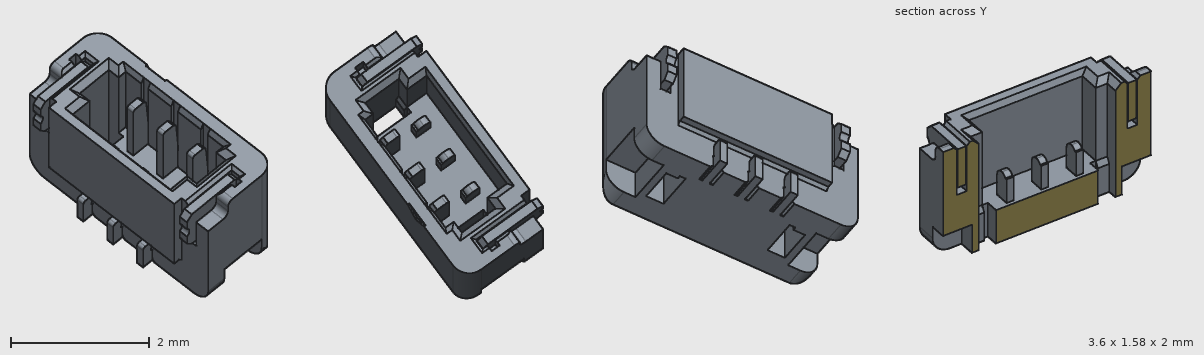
import cadquery as cq


LENGTH = 3.6
DEPTH = 1.4
HEIGHT = 2.0
CORNER_RADIUS = 0.3

BLOCK_LENGTH = 2.527
BLOCK_THICKNESS = 0.15
BLOCK_BOTTOM = 0.6
BLOCK_ROOT_CHAMFER = 0.05

BEVEL_DEPTH = 0.1
CAVITY_FLOOR = 0.6
MAIN_HALF = 0.983
MAIN_BEVEL_Y = 0.05
MAIN_FRONT = MAIN_BEVEL_Y
MAIN_BACK = 1.15
WING_HALF = 1.18
WING_FRONT = 0.4
WING_BACK = 1.0

WINDOW_INNER = 0.885
RAMP_WIDTH = 0.055

PITCH = 0.6
CONTACT_XS = [-PITCH, 0, PITCH]
CONTACT_WIDTH = 0.122
GROOVE_WIDTH = 0.135
GROOVE_BACK = MAIN_BACK + MAIN_BEVEL_Y
POST_FRONT = 0.85
POST_BACK = 1.115
POST_TOP = 1.652
POST_FRONT_RADIUS = 0.05
POST_BACK_CHAMFER = 0.055
SPRING_FRONT = 0.302
SPRING_CREST = 0.42
SPRING_SHOULDER = 0.522
SPRING_BACK = 0.555
SPRING_TOP = 1.08
SPRING_SHOULDER_DROP = 0.058

TAIL_REACH = 0.18
TAIL_HEIGHT = 0.45
TAIL_ROUND = 0.05
TAIL_GAP = 0.01
SHANK_HEIGHT = 0.25
SHANK_END = SPRING_FRONT
CHANNEL_WIDTH = GROOVE_WIDTH
CHANNEL_CHAMFER = 0.045

PLATE_X = 1.475
PLATE_WIDTH = 0.148
PLATE_TOP = 1.95
PLATE_BOTTOM = 1.26
PLATE_CHAMFER = 0.097
PLATE_NOTCH_DEPTH = 0.05
PLATE_NOTCH_HEIGHT = 0.173
SLOT_WIDTH = 0.165
SLOT_BOTTOM = 1.145
SLOT_BACK = 0.9
SLOT_BEVEL = 0.055
POCKET_OUTER = 1.67
POCKET_FRONT = 0.68
POCKET_LENGTH = 0.145
POCKET_DEPTH = 0.4

STEP_HEIGHT = 0.302
STEP_DEPTH = 0.41
STEP_RADIUS = 0.1

FOOT_FRONT = 0.34
FOOT_BACK = 1.1
FOOT_HEIGHT = 0.5
FOOT_DEPTH = 0.5

MARK_WIDTH = 0.4
MARK_HEIGHT = 0.3
MARK_DEPTH = 0.03


def box(x0, x1, y0, y1, z0, z1):
    return cq.Workplane("XY").box(x1 - x0, y1 - y0, z1 - z0, centered=False).translate((x0, y0, z0))


def side_profile(start):
    """Workplane for a (y, z) outline starting at the given point."""
    return cq.Workplane("YZ").moveTo(*start)


def extrude_across(outline, x_center, width):
    """Close a (y, z) outline and extrude it along X about x_center."""
    return outline.close().extrude(width / 2, both=True).translate((x_center, 0, 0))


def on_both_ends(solid):
    return solid.union(solid.mirror("YZ"))


def bevelled_mouth(x0, x1, y0, y1, depth, bevel_x, bevel_y):
    """Flared opening that reaches the given rectangle at depth below the top face."""
    outer = (x1 - x0 + 2 * bevel_x, y1 - y0 + 2 * bevel_y)
    return (
        cq.Workplane("XY", origin=((x0 + x1) / 2, (y0 + y1) / 2, HEIGHT - depth))
        .rect(x1 - x0, y1 - y0)
        .workplane(offset=depth)
        .rect(*outer)
        .loft(ruled=True)
    )


def housing():
    body = box(-LENGTH / 2, LENGTH / 2, 0, DEPTH, 0, HEIGHT)
    rounded_behind = body.edges("|Z and >Y").fillet(CORNER_RADIUS)
    rounded_below = body.edges("|Y and <Z").fillet(CORNER_RADIUS)
    block = (
        side_profile((0, HEIGHT))
        .lineTo(-BLOCK_THICKNESS, HEIGHT)
        .lineTo(-BLOCK_THICKNESS, BLOCK_BOTTOM)
        .lineTo(-BLOCK_ROOT_CHAMFER, BLOCK_BOTTOM)
        .lineTo(0, BLOCK_BOTTOM - BLOCK_ROOT_CHAMFER)
    )
    return rounded_behind.intersect(rounded_below).union(extrude_across(block, 0, BLOCK_LENGTH))


def cavity():
    main = box(-MAIN_HALF, MAIN_HALF, MAIN_FRONT, MAIN_BACK, CAVITY_FLOOR, HEIGHT)
    wings = box(-WING_HALF, WING_HALF, WING_FRONT, WING_BACK, CAVITY_FLOOR, HEIGHT)
    main_mouth = bevelled_mouth(
        -MAIN_HALF, MAIN_HALF, MAIN_FRONT, MAIN_BACK, BEVEL_DEPTH, BEVEL_DEPTH, MAIN_BEVEL_Y
    )
    wing_mouth = bevelled_mouth(
        -WING_HALF, WING_HALF, WING_FRONT, WING_BACK, BEVEL_DEPTH, BEVEL_DEPTH, BEVEL_DEPTH
    )
    pocket = main.union(wings).union(main_mouth).union(wing_mouth)
    for x in CONTACT_XS:
        half = GROOVE_WIDTH / 2
        pocket = pocket.union(box(x - half, x + half, MAIN_FRONT, GROOVE_BACK, CAVITY_FLOOR, HEIGHT))
    return pocket


def floor_windows():
    """Through openings, each with a small ramp left along its front edge."""
    window = box(WINDOW_INNER, WING_HALF, WING_FRONT, WING_BACK, 0, CAVITY_FLOOR)
    ramp = (
        side_profile((WING_FRONT, 0))
        .lineTo(WING_FRONT, CAVITY_FLOOR)
        .lineTo(WING_FRONT + RAMP_WIDTH, CAVITY_FLOOR - BEVEL_DEPTH)
        .lineTo(WING_FRONT + RAMP_WIDTH, 0)
    )
    ramp = extrude_across(ramp, (MAIN_HALF + WING_HALF) / 2, WING_HALF - MAIN_HALF)
    return on_both_ends(window.cut(ramp))


def plate_slots():
    x0 = PLATE_X - SLOT_WIDTH / 2
    x1 = PLATE_X + SLOT_WIDTH / 2
    slot = box(x0, x1, 0, SLOT_BACK, SLOT_BOTTOM, HEIGHT)
    mouth = bevelled_mouth(x0, x1, -SLOT_BACK, SLOT_BACK, SLOT_BEVEL, SLOT_BEVEL, SLOT_BEVEL)
    mouth = mouth.intersect(box(0, LENGTH, 0, DEPTH, 0, HEIGHT))
    pocket = box(
        PLATE_X, POCKET_OUTER, POCKET_FRONT, POCKET_FRONT + POCKET_LENGTH, HEIGHT - POCKET_DEPTH, HEIGHT
    )
    return on_both_ends(slot.union(mouth).union(pocket))


def corner_steps():
    """Cutaways outboard of the slots, with a rounded lip and a rounded inner corner."""
    step_z = HEIGHT - STEP_HEIGHT
    outline = (
        side_profile((0, HEIGHT))
        .lineTo(0, step_z)
        .lineTo(STEP_DEPTH - STEP_RADIUS, step_z)
        .radiusArc((STEP_DEPTH, step_z + STEP_RADIUS), -STEP_RADIUS)
        .lineTo(STEP_DEPTH, HEIGHT - STEP_RADIUS)
        .radiusArc((STEP_DEPTH + STEP_RADIUS, HEIGHT), STEP_RADIUS)
    )
    width = LENGTH / 2 - PLATE_X
    return on_both_ends(extrude_across(outline, PLATE_X + width / 2, width))


def foot_recesses():
    return on_both_ends(
        box(LENGTH / 2 - FOOT_DEPTH, LENGTH / 2, FOOT_FRONT, FOOT_BACK, 0, FOOT_HEIGHT)
    )


def first_contact_mark():
    """Shallow triangle on the back face, open at the top and pointing down at the first contact."""
    x = CONTACT_XS[0]
    return (
        cq.Workplane("XZ", origin=(0, DEPTH, 0))
        .moveTo(x - MARK_WIDTH / 2, HEIGHT)
        .lineTo(x + MARK_WIDTH / 2, HEIGHT)
        .lineTo(x, HEIGHT - MARK_HEIGHT)
        .close()
        .extrude(MARK_DEPTH)
    )


def tail_channel(x):
    """Channel under the front wall for a solder tail, with chamfered bottom edges."""
    half = CHANNEL_WIDTH / 2
    flare = (
        cq.Workplane("XZ")
        .moveTo(x - half - CHANNEL_CHAMFER, 0)
        .lineTo(x - half, CHANNEL_CHAMFER)
        .lineTo(x + half, CHANNEL_CHAMFER)
        .lineTo(x + half + CHANNEL_CHAMFER, 0)
        .close()
        .extrude(-SHANK_END)
    )
    return flare.union(box(x - half, x + half, 0, SHANK_END, 0, SHANK_HEIGHT))


def post(x):
    """Tall rear contact whose sloping back leans into its groove."""
    outline = (
        side_profile((POST_FRONT, CAVITY_FLOOR))
        .lineTo(POST_FRONT, POST_TOP - POST_FRONT_RADIUS)
        .radiusArc((POST_FRONT + POST_FRONT_RADIUS, POST_TOP), POST_FRONT_RADIUS)
        .lineTo(POST_BACK - POST_BACK_CHAMFER, POST_TOP)
        .lineTo(POST_BACK, POST_TOP - POST_BACK_CHAMFER)
        .lineTo(GROOVE_BACK, CAVITY_FLOOR)
    )
    return extrude_across(outline, x, CONTACT_WIDTH)


def spring(x):
    """Low front contact with a rounded crest and a narrow ledge behind it."""
    front_radius = SPRING_CREST - SPRING_FRONT
    shoulder_run = SPRING_SHOULDER - SPRING_CREST
    back_radius = (shoulder_run**2 + SPRING_SHOULDER_DROP**2) / (2 * SPRING_SHOULDER_DROP)
    outline = (
        side_profile((SPRING_FRONT, CAVITY_FLOOR))
        .lineTo(SPRING_FRONT, SPRING_TOP - front_radius)
        .radiusArc((SPRING_CREST, SPRING_TOP), front_radius)
        .radiusArc((SPRING_SHOULDER, SPRING_TOP - SPRING_SHOULDER_DROP), back_radius)
        .lineTo(SPRING_BACK, SPRING_TOP - SPRING_SHOULDER_DROP)
        .lineTo(SPRING_BACK, CAVITY_FLOOR)
    )
    return extrude_across(outline, x, CONTACT_WIDTH)


def solder_tail(x):
    """Upright tab in front of the housing on a shank that runs into it."""
    half = CONTACT_WIDTH / 2
    tab = box(x - half, x + half, -TAIL_REACH, -TAIL_GAP, 0, TAIL_HEIGHT)
    tab = tab.edges("|X and >Z").fillet(TAIL_ROUND)
    return tab.union(box(x - half, x + half, -TAIL_GAP, SHANK_END, 0, SHANK_HEIGHT))


def retention_plates():
    """Plates in the slots, hooked down over the front face with a notch in the leading edge."""
    notch_middle = (PLATE_TOP + PLATE_BOTTOM) / 2
    notch_root = -TAIL_REACH + PLATE_NOTCH_DEPTH
    outline = (
        side_profile((SLOT_BACK, PLATE_BOTTOM))
        .lineTo(SLOT_BACK, PLATE_TOP - PLATE_CHAMFER)
        .lineTo(SLOT_BACK - PLATE_CHAMFER, PLATE_TOP)
        .lineTo(PLATE_CHAMFER - TAIL_REACH, PLATE_TOP)
        .lineTo(-TAIL_REACH, PLATE_TOP - PLATE_CHAMFER)
        .lineTo(-TAIL_REACH, notch_middle + PLATE_NOTCH_HEIGHT / 2)
        .threePointArc((notch_root, notch_middle), (-TAIL_REACH, notch_middle - PLATE_NOTCH_HEIGHT / 2))
        .lineTo(-TAIL_REACH, PLATE_BOTTOM + PLATE_CHAMFER)
        .lineTo(PLATE_CHAMFER - TAIL_REACH, PLATE_BOTTOM)
    )
    return on_both_ends(extrude_across(outline, PLATE_X, PLATE_WIDTH))


result = housing()
for removed in (cavity, floor_windows, plate_slots, corner_steps, foot_recesses, first_contact_mark):
    result = result.cut(removed())
for contact_x in CONTACT_XS:
    result = result.cut(tail_channel(contact_x))
    for contact in (post, spring, solder_tail):
        result = result.union(contact(contact_x))
result = result.union(retention_plates())